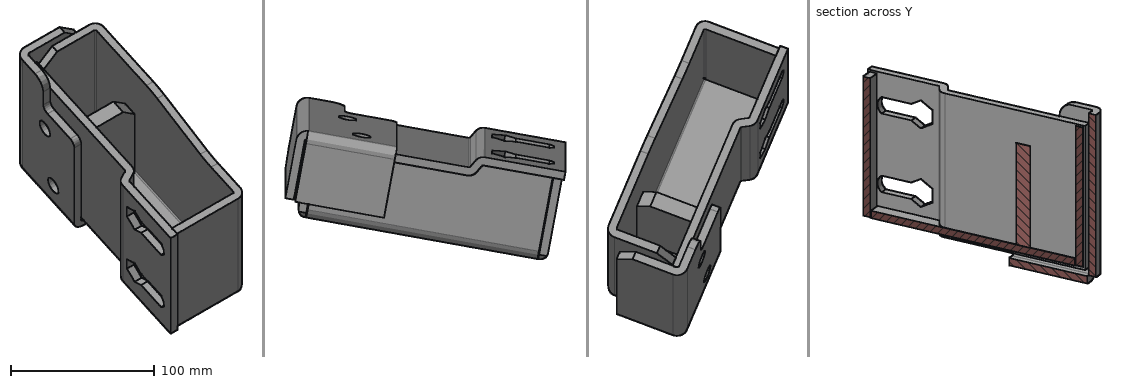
import cadquery as cq
import math


SHEET = 6.0
PLATE_BEND_INNER = 1.0
PLATE_BEND_OUTER = PLATE_BEND_INNER + SHEET
OVERALL_LENGTH = 189.0
OVERALL_DEPTH = 66.0
OVERALL_HEIGHT = 130.5

PLATE_LENGTH = 180.0
PLATE_LEFT = OVERALL_LENGTH - PLATE_LENGTH
PLATE_HEIGHT = 110.0
PLATE_BOTTOM = 10.0
JOGGLE_OFFSET = 9.0
JOGGLE_START = 122.0
JOGGLE_ANGLE = math.radians(60)
KEYHOLE_SPACING = 60.0
KEYHOLE_HEX_X = 146.2
KEYHOLE_HEX_FLATS = 18.5
KEYHOLE_SLOT_WIDTH = 12.5
KEYHOLE_SLOT_END = 181.0
KEYHOLE_END_BULGE = 3.3
STEP_BACK_Y = JOGGLE_OFFSET + SHEET

BRACKET_LENGTH = 70.0
BRACKET_FRONT = JOGGLE_OFFSET - SHEET
BRACKET_BACK = 53.0
BRACKET_BEND_INNER = 1.8
FLANGE_SIDE_GAP = 1.0
FLANGE_TOP_GAP = 0.5
BRACKET_CHAMFER = 12.0
NOTCH_LEFT = 33.0
NOTCH_DEPTH = 30.0
NOTCH_CORNER_RADIUS = 5.0
NOTCH_TOP_RADIUS = 10.0
BRACKET_HOLE_DIAMETER = 12.5
BRACKET_HOLES = [(35.0, 80.0), (45.0, 25.0)]

TRAY_MARGIN = 1.5
TRAY_LEFT = PLATE_LEFT + TRAY_MARGIN
TRAY_RIGHT = OVERALL_LENGTH - TRAY_MARGIN
TRAY_BOTTOM = 11.5
FLOOR_SIDE_GAP = 0.5
WALL_BOTTOM_RISE = 0.5
TRAY_RIM_DROP = 12.0
RIM_SLOPE_START = 83.3
RIM_SLOPE_END = 147.3
RIM_BLEND_RADIUS = 70.0
TRAY_WALL_CHAMFER = 12.0

BLOCK_LEFT = 53.0
BLOCK_WIDTH = 11.5
BLOCK_TOP = 95.0
BLOCK_CHAMFER = 10.0


def box(x_range, y_range, z_range):
    """Axis-aligned box between the given limits."""
    limits = (x_range, y_range, z_range)
    sizes = [high - low for low, high in limits]
    corner = tuple(low for low, high in limits)
    return cq.Workplane("XY").box(*sizes, centered=False).translate(corner)


def joggle_geometry():
    """Return the two bend centres of the joggle and the unit normal of its sloping web."""
    bend_middle = (PLATE_BEND_INNER + PLATE_BEND_OUTER) / 2
    sine, cosine = math.sin(JOGGLE_ANGLE), math.cos(JOGGLE_ANGLE)
    web_length = (JOGGLE_OFFSET - 2 * bend_middle * (1 - cosine)) / sine
    run = 2 * bend_middle * sine + web_length * cosine
    first_centre = cq.Vector(JOGGLE_START, STEP_BACK_Y - PLATE_BEND_OUTER)
    second_centre = cq.Vector(JOGGLE_START + run, PLATE_BEND_OUTER)
    return first_centre, second_centre, cq.Vector(sine, cosine)


def back_face_path():
    """Plan path along the back face of the keyhole plate, from left to right."""
    first_centre, second_centre, normal = joggle_geometry()
    web_start = first_centre + normal * PLATE_BEND_OUTER
    web_end = second_centre - normal * PLATE_BEND_INNER
    return (
        cq.Workplane("XY")
        .moveTo(PLATE_LEFT, STEP_BACK_Y)
        .lineTo(JOGGLE_START, STEP_BACK_Y)
        .tangentArcPoint((web_start.x, web_start.y), relative=False)
        .lineTo(web_end.x, web_end.y)
        .tangentArcPoint((second_centre.x, SHEET), relative=False)
        .lineTo(OVERALL_LENGTH, SHEET)
    )


def keyhole_cutter(centre_z):
    """Hexagonal opening running into a round-ended slot, through the right-hand part of the plate."""
    hex_corners = KEYHOLE_HEX_FLATS / math.cos(math.radians(30))
    half_width = KEYHOLE_SLOT_WIDTH / 2
    arc_start = KEYHOLE_SLOT_END - KEYHOLE_END_BULGE
    sketch_plane = cq.Workplane("XZ").center(KEYHOLE_HEX_X, centre_z)
    hexagon = sketch_plane.transformed(rotate=(0, 0, 90)).polygon(6, hex_corners).extrude(-SHEET)
    slot = (
        sketch_plane
        .moveTo(0, -half_width)
        .lineTo(arc_start - KEYHOLE_HEX_X, -half_width)
        .threePointArc(
            (KEYHOLE_SLOT_END - KEYHOLE_HEX_X, 0),
            (arc_start - KEYHOLE_HEX_X, half_width),
        )
        .lineTo(0, half_width)
        .close()
        .extrude(-SHEET)
    )
    return hexagon.union(slot)


def make_keyhole_plate():
    first_centre, second_centre, normal = joggle_geometry()
    web_front_end = second_centre - normal * PLATE_BEND_OUTER
    web_front_start = first_centre + normal * PLATE_BEND_INNER
    plate = (
        back_face_path()
        .lineTo(OVERALL_LENGTH, 0)
        .lineTo(second_centre.x, 0)
        .tangentArcPoint((web_front_end.x, web_front_end.y), relative=False)
        .lineTo(web_front_start.x, web_front_start.y)
        .tangentArcPoint((JOGGLE_START, JOGGLE_OFFSET), relative=False)
        .lineTo(PLATE_LEFT, JOGGLE_OFFSET)
        .close()
        .extrude(PLATE_HEIGHT)
        .translate((0, 0, PLATE_BOTTOM))
    )
    plate_middle = PLATE_BOTTOM + PLATE_HEIGHT / 2
    for side in (-1, 1):
        plate = plate.cut(keyhole_cutter(plate_middle + side * KEYHOLE_SPACING / 2))
    return plate


def make_corner_bracket():
    depth_range = (BRACKET_FRONT, BRACKET_BACK)

    outer = box((0, BRACKET_LENGTH), depth_range, (0, OVERALL_HEIGHT))
    outer = outer.edges("(|Z and <X and <Y) or (|X and <Y and <Z)").fillet(BRACKET_BEND_INNER + SHEET)
    inner = box((SHEET, BRACKET_LENGTH), (BRACKET_FRONT + SHEET, BRACKET_BACK), (SHEET, OVERALL_HEIGHT))
    inner = inner.edges("(|Z and <X and <Y) or (|X and <Y and <Z)").fillet(BRACKET_BEND_INNER)
    bracket = outer.cut(inner)

    bracket = bracket.cut(box((0, SHEET + FLANGE_SIDE_GAP), depth_range, (0, SHEET + FLANGE_TOP_GAP)))

    chamfer = (
        cq.Workplane("YZ")
        .moveTo(BRACKET_BACK, OVERALL_HEIGHT)
        .lineTo(BRACKET_BACK - BRACKET_CHAMFER, OVERALL_HEIGHT)
        .lineTo(BRACKET_BACK, OVERALL_HEIGHT - BRACKET_CHAMFER)
        .close()
        .extrude(SHEET)
    )
    bracket = bracket.cut(chamfer)

    notch_floor = OVERALL_HEIGHT - NOTCH_DEPTH
    notch = (
        cq.Workplane("XZ", origin=(0, BRACKET_FRONT, 0))
        .moveTo(BRACKET_LENGTH, OVERALL_HEIGHT)
        .lineTo(NOTCH_LEFT - NOTCH_TOP_RADIUS, OVERALL_HEIGHT)
        .radiusArc((NOTCH_LEFT, OVERALL_HEIGHT - NOTCH_TOP_RADIUS), NOTCH_TOP_RADIUS)
        .lineTo(NOTCH_LEFT, notch_floor + NOTCH_CORNER_RADIUS)
        .radiusArc((NOTCH_LEFT + NOTCH_CORNER_RADIUS, notch_floor), -NOTCH_CORNER_RADIUS)
        .lineTo(BRACKET_LENGTH - NOTCH_CORNER_RADIUS, notch_floor)
        .radiusArc((BRACKET_LENGTH, notch_floor - NOTCH_CORNER_RADIUS), NOTCH_CORNER_RADIUS)
        .close()
        .extrude(-SHEET)
    )
    bracket = bracket.cut(notch)

    holes = (
        cq.Workplane("XZ", origin=(0, BRACKET_FRONT, 0))
        .pushPoints(BRACKET_HOLES)
        .circle(BRACKET_HOLE_DIAMETER / 2)
        .extrude(-SHEET)
    )
    return bracket.cut(holes)


def make_tray():
    depth_range = (0, OVERALL_DEPTH)
    back_edges = "(|Z and >Y) or (|X and >Y and <Z)"

    outer = box((TRAY_LEFT, TRAY_RIGHT), depth_range, (TRAY_BOTTOM, OVERALL_HEIGHT))
    outer = outer.edges(back_edges).fillet(PLATE_BEND_OUTER)
    inner = box(
        (TRAY_LEFT + SHEET, TRAY_RIGHT - SHEET),
        (0, OVERALL_DEPTH - SHEET),
        (TRAY_BOTTOM + SHEET, OVERALL_HEIGHT),
    )
    inner = inner.edges(back_edges).fillet(PLATE_BEND_INNER)
    tray = outer.cut(inner)

    floor_bend_top = TRAY_BOTTOM + PLATE_BEND_OUTER
    for gap_left in (TRAY_LEFT + SHEET, TRAY_RIGHT - SHEET - FLOOR_SIDE_GAP):
        gap_range = (gap_left, gap_left + FLOOR_SIDE_GAP)
        tray = tray.cut(box(gap_range, depth_range, (TRAY_BOTTOM, floor_bend_top)))

    for wall_range in ((TRAY_LEFT, TRAY_LEFT + SHEET), (TRAY_RIGHT - SHEET, TRAY_RIGHT)):
        tray = tray.cut(box(wall_range, depth_range, (TRAY_BOTTOM, TRAY_BOTTOM + WALL_BOTTOM_RISE)))

    front_space = (
        back_face_path()
        .lineTo(OVERALL_LENGTH, 0)
        .lineTo(PLATE_LEFT, 0)
        .close()
        .extrude(OVERALL_HEIGHT)
    )
    tray = tray.cut(front_space)

    slope = math.atan2(TRAY_RIM_DROP, RIM_SLOPE_END - RIM_SLOPE_START)
    tangent = RIM_BLEND_RADIUS * math.tan(slope / 2)
    tangent_run = tangent * math.cos(slope)
    tangent_fall = tangent * math.sin(slope)
    low_rim = OVERALL_HEIGHT - TRAY_RIM_DROP
    rim_cutter = (
        cq.Workplane("XZ")
        .moveTo(OVERALL_LENGTH, OVERALL_HEIGHT)
        .lineTo(RIM_SLOPE_START - tangent, OVERALL_HEIGHT)
        .radiusArc((RIM_SLOPE_START + tangent_run, OVERALL_HEIGHT - tangent_fall), RIM_BLEND_RADIUS)
        .lineTo(RIM_SLOPE_END - tangent_run, low_rim + tangent_fall)
        .radiusArc((RIM_SLOPE_END + tangent, low_rim), -RIM_BLEND_RADIUS)
        .lineTo(OVERALL_LENGTH, low_rim)
        .close()
        .extrude(-OVERALL_DEPTH)
    )
    tray = tray.cut(rim_cutter)

    chamfer = (
        cq.Workplane("YZ", origin=(TRAY_LEFT, 0, 0))
        .moveTo(STEP_BACK_Y, OVERALL_HEIGHT)
        .lineTo(STEP_BACK_Y + TRAY_WALL_CHAMFER, OVERALL_HEIGHT)
        .lineTo(STEP_BACK_Y, OVERALL_HEIGHT - TRAY_WALL_CHAMFER)
        .close()
        .extrude(SHEET)
    )
    return tray.cut(chamfer)


def make_support_block():
    """Block running from the back of the plate to the inner bend of the tray floor."""
    block = box(
        (BLOCK_LEFT, BLOCK_LEFT + BLOCK_WIDTH),
        (STEP_BACK_Y, OVERALL_DEPTH - PLATE_BEND_OUTER),
        (TRAY_BOTTOM + SHEET, BLOCK_TOP),
    )
    return block.edges("|X and >Y and >Z").chamfer(BLOCK_CHAMFER)


keyhole_plate = make_keyhole_plate()
corner_bracket = make_corner_bracket()
tray = make_tray()
support_block = make_support_block()

result = cq.Compound.makeCompound([
    keyhole_plate.val(),
    corner_bracket.val(),
    tray.val(),
    support_block.val(),
])